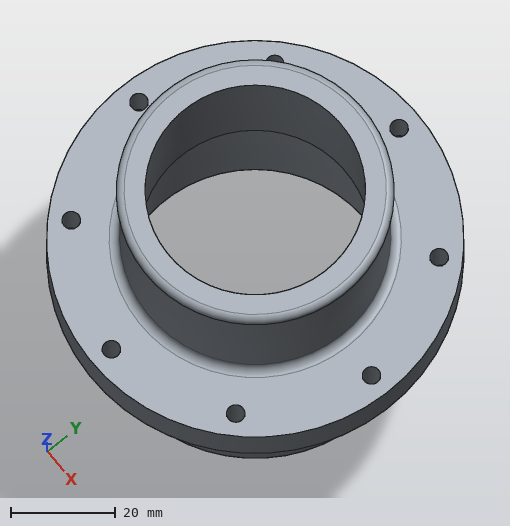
import cadquery as cq
import math

flange_bottom = 30.0
flange_thickness = 10.0
flange_top = flange_bottom + flange_thickness
total_height = 70.0

flange_radius = 39.8
wide_end_radius = 31.0
narrow_end_radius = 25.0
wall_thickness = 4.0

bore_overrun = 1.0
bore_step_top = flange_top - bore_overrun

draft_slope = math.tan(math.radians(2.0))

bead_height = 3.0
bead_radius = bead_height / 2
bead_bottom = total_height - bead_height

wide_fillet = 5.0
narrow_fillet = 2.0

hole_count = 8
hole_diameter = 3.5
bolt_circle_radius = 35.3


def make_spigot(end_radius, end_height, root_height):
    """Solid cone frustum from its free end to its root on the flange."""
    root_radius = end_radius + abs(root_height - end_height) * draft_slope
    return (
        cq.Workplane("XZ")
        .moveTo(0, end_height)
        .lineTo(end_radius, end_height)
        .lineTo(root_radius, root_height)
        .lineTo(0, root_height)
        .close()
        .revolve(360, (0, 0, 0), (0, 1, 0))
    )


def make_bead():
    """Solid disc with a half-round rim."""
    return (
        cq.Workplane("XZ")
        .moveTo(0, bead_bottom)
        .lineTo(narrow_end_radius, bead_bottom)
        .threePointArc(
            (narrow_end_radius + bead_radius, bead_bottom + bead_radius),
            (narrow_end_radius, total_height),
        )
        .lineTo(0, total_height)
        .close()
        .revolve(360, (0, 0, 0), (0, 1, 0))
    )


def make_bore():
    """Core that follows both spigots one wall inside, joined by a cone within the flange."""
    wide_bore_radius = wide_end_radius - wall_thickness
    narrow_bore_radius = narrow_end_radius - wall_thickness
    wide_inner_radius = wide_bore_radius + flange_bottom * draft_slope
    narrow_inner_radius = narrow_bore_radius + (total_height - bore_step_top) * draft_slope
    return (
        cq.Workplane("XZ")
        .lineTo(wide_bore_radius, 0)
        .lineTo(wide_inner_radius, flange_bottom)
        .lineTo(narrow_inner_radius, bore_step_top)
        .lineTo(narrow_bore_radius, total_height)
        .lineTo(0, total_height)
        .close()
        .revolve(360, (0, 0, 0), (0, 1, 0))
    )


def root_fillet(body, height, radius):
    """Round the inner corner between a spigot and the flange face at this height."""
    circles = [
        edge
        for edge in body.edges("%CIRCLE").vals()
        if math.isclose(edge.Center().z, height, abs_tol=0.001)
    ]
    root = min(circles, key=lambda edge: edge.radius())
    return body.newObject([root]).fillet(radius)


flange = cq.Workplane("XY").workplane(offset=flange_bottom).circle(flange_radius).extrude(flange_thickness)
body = flange.union(make_spigot(wide_end_radius, 0, flange_bottom))
body = body.union(make_spigot(narrow_end_radius, bead_bottom, flange_top))
body = root_fillet(body, flange_bottom, wide_fillet)
body = root_fillet(body, flange_top, narrow_fillet)
body = body.union(make_bead())

bolt_holes = (
    cq.Workplane("XY")
    .polarArray(bolt_circle_radius, 0, 360, hole_count)
    .circle(hole_diameter / 2)
    .extrude(flange_top)
)

result = body.cut(make_bore()).cut(bolt_holes)